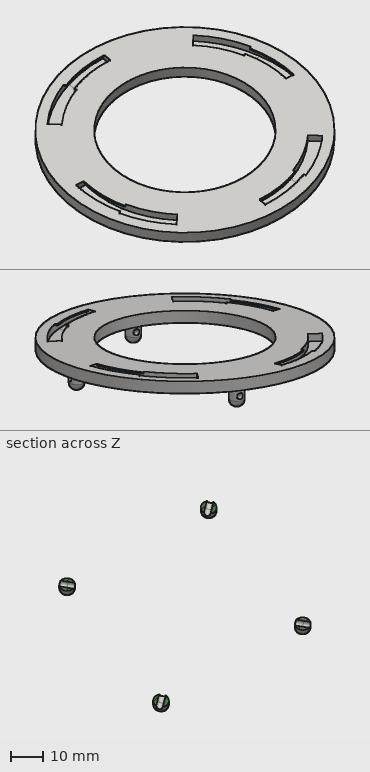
import cadquery as cq
import math

PLATE_DIAMETER = 92.4
BORE_DIAMETER = 56.0
PLATE_THICKNESS = 4.0

PIN_DIAMETER = 5.0
PIN_LENGTH = 8.0
PIN_CIRCLE_RADIUS = 37.1
FIRST_PIN_ANGLE = 45.0
PIN_HOLE_DIAMETER = 2.0
PIN_HOLE_DEPTH_BELOW_PLATE = 4.0

SLOT_MID_RADIUS = 40.3
SLOT_HALF_ANGLE = 25.0
ENTRY_WIDTH = 4.5
NECK_WIDTH = 2.9
SLOT_DEPTH = 2.5
LIP_THICKNESS = 0.5

RAMP_LENGTH = 15.0
RAMP_RISE = 0.5

REPEATS = 4
REPEAT_ANGLE = 360.0 / REPEATS


def polar_point(radius, angle):
    """XY point at a radius and an angle in degrees."""
    return (
        radius * math.cos(math.radians(angle)),
        radius * math.sin(math.radians(angle)),
    )


def about_z(body, angle):
    """Body turned about the ring axis by an angle in degrees."""
    return body.rotate((0, 0, 0), (0, 0, 1), angle)


def arc_band(width, start_angle, end_angle, bottom, top):
    """Ring sector centred on the slot radius, between two heights."""
    inner = SLOT_MID_RADIUS - width / 2
    outer = SLOT_MID_RADIUS + width / 2
    middle_angle = (start_angle + end_angle) / 2
    return (
        cq.Workplane("XY", origin=(0, 0, bottom))
        .moveTo(*polar_point(inner, start_angle))
        .lineTo(*polar_point(outer, start_angle))
        .threePointArc(polar_point(outer, middle_angle), polar_point(outer, end_angle))
        .lineTo(*polar_point(inner, end_angle))
        .threePointArc(polar_point(inner, middle_angle), polar_point(inner, start_angle))
        .close()
        .extrude(top - bottom)
    )


def make_plate():
    return (
        cq.Workplane("XY")
        .circle(PLATE_DIAMETER / 2)
        .circle(BORE_DIAMETER / 2)
        .extrude(PLATE_THICKNESS)
    )


def make_slot():
    """Slot void straddling the +X axis: entry at positive angles, neck at negative ones."""
    floor = PLATE_THICKNESS - SLOT_DEPTH
    lip_bottom = PLATE_THICKNESS - LIP_THICKNESS
    entry = arc_band(ENTRY_WIDTH, 0, SLOT_HALF_ANGLE, floor, PLATE_THICKNESS)
    neck = arc_band(NECK_WIDTH, -SLOT_HALF_ANGLE, 0, floor, PLATE_THICKNESS)
    channel = arc_band(ENTRY_WIDTH, -SLOT_HALF_ANGLE, 0, floor, lip_bottom)
    ramp = (
        cq.Workplane("YZ", origin=(0, 0, floor))
        .polyline([(0, 0), (RAMP_LENGTH, 0), (0, RAMP_RISE)])
        .close()
        .extrude(PLATE_DIAMETER / 2)
    )
    ramp = about_z(ramp, -SLOT_HALF_ANGLE)
    return entry.union(neck).union(channel).cut(ramp)


def make_pin():
    """Pin on the +X axis, hanging from the plate underside and drilled along X."""
    radius = PIN_DIAMETER / 2
    pin = (
        cq.Workplane("XY")
        .center(PIN_CIRCLE_RADIUS, 0)
        .circle(radius)
        .extrude(radius - PIN_LENGTH)
    )
    nose = cq.Workplane("XY").sphere(radius).translate((PIN_CIRCLE_RADIUS, 0, radius - PIN_LENGTH))
    hole = (
        cq.Workplane("YZ", origin=(PIN_CIRCLE_RADIUS, 0, -PIN_HOLE_DEPTH_BELOW_PLATE))
        .circle(PIN_HOLE_DIAMETER / 2)
        .extrude(PIN_DIAMETER, both=True)
    )
    return pin.union(nose).cut(hole)


result = make_plate()
slot = make_slot()
pin = make_pin()
for index in range(REPEATS):
    turn = index * REPEAT_ANGLE
    result = result.cut(about_z(slot, turn))
    result = result.union(about_z(pin, FIRST_PIN_ANGLE + turn))